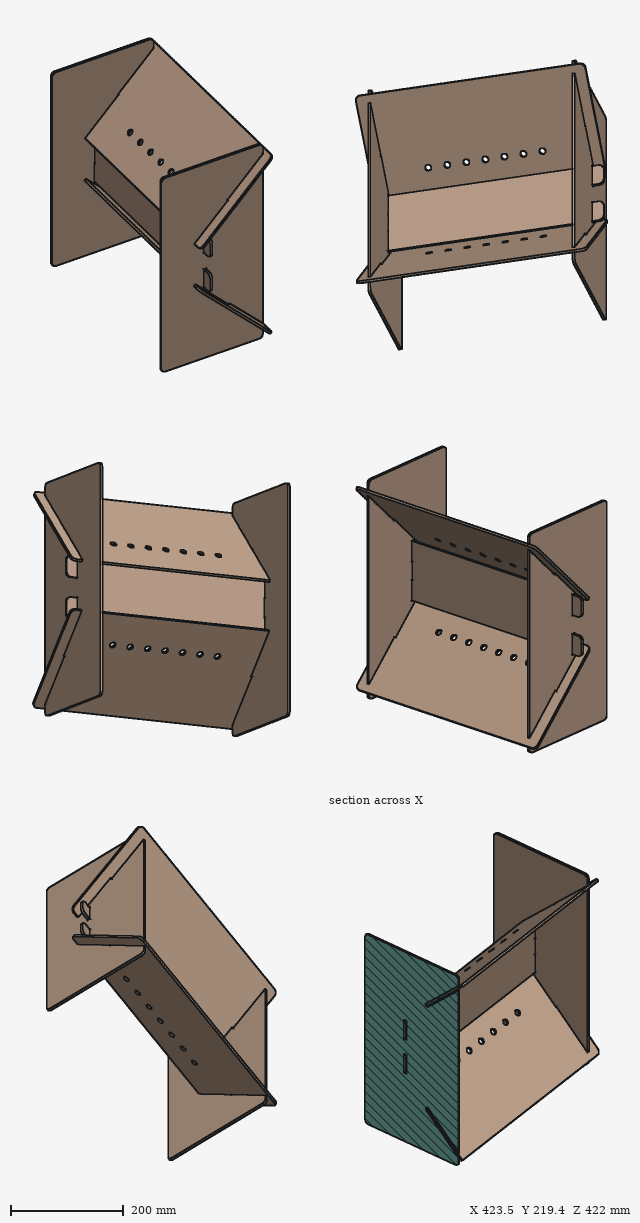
import cadquery as cq
sheet = 4.5
play = 1.5
slot_width = sheet + play
side_corner_radius = 8.5
corner_radius = 9.0

side_depth = 210.0
side_height = 422.0
side_spacing = 375.5

overall_width = 423.5
shelf_width = overall_width - play
shelf_length = 211.5
shelf_tilt = 45
shelf_center_y = 38.0
shelf_center_z = 119.5
slot_drop = -play / 2
lap_offset = 7.5
shelf_shift_x = play / 2

hole_count = 7
hole_row_length = 210.0
hole_pitch = hole_row_length / (hole_count - 1)
hole_diameter = 11.0
hole_row_offset = 41.5

back_width = 421.0
back_height = 114.5
back_y = -14.5
tab_gap = 36.5
tab_height = (back_height - tab_gap) / 2
tab_center_z = (back_height + tab_gap) / 4
tab_slot_height = tab_height + play
back_body_width = side_spacing - sheet

SIDES = (-1, 1)


def place_on_shelf(body):
    """Move a body from flat at the origin to the upper shelf's place, centred in X."""
    tilted = body.rotate((0, 0, 0), (1, 0, 0), shelf_tilt)
    return tilted.translate((0, shelf_center_y, shelf_center_z))


def turn_over(body):
    """Swap upper and lower with a half turn about the Y axis."""
    return body.rotate((0, 0, 0), (0, 1, 0), 180)


def make_side_panel(side):
    """Rounded panel with a slanted slot for each shelf and two windows for the back panel's tabs."""
    panel = cq.Workplane("XY").box(sheet, side_depth, side_height).edges("|X").fillet(side_corner_radius)
    flat_slot = (
        cq.Workplane("XY", origin=(0, -lap_offset, slot_drop))
        .box(shelf_width, shelf_length, slot_width, centered=(True, False, True))
    )
    upper_slot = place_on_shelf(flat_slot)
    panel = panel.cut(upper_slot).cut(turn_over(upper_slot))
    for level in SIDES:
        tab_slot = cq.Workplane("XY").box(shelf_width, slot_width, tab_slot_height)
        panel = panel.cut(tab_slot.translate((0, back_y, level * tab_center_z)))
    return panel.translate((side * side_spacing / 2, 0, 0))


def make_upper_shelf():
    """Rounded panel with two lap slots and a row of holes, pushed to +X by half the play."""
    shelf = cq.Workplane("XY").box(shelf_width, shelf_length, sheet).edges("|Z").fillet(corner_radius)
    slots = (
        cq.Workplane("XY")
        .pushPoints([(side * side_spacing / 2, -lap_offset - shelf_length / 2) for side in SIDES])
        .box(slot_width, shelf_length, sheet)
    )
    holes = (
        cq.Workplane("XY")
        .center(0, -hole_row_offset)
        .rarray(hole_pitch, 4.2, hole_count, 1)
        .circle(hole_diameter / 2)
        .extrude(sheet, both=True)
    )
    return place_on_shelf(shelf.cut(slots).cut(holes)).translate((shelf_shift_x, 0, 0))


def make_back_panel():
    """Panel that fits between the side panels, with rounded tabs reaching out through them."""
    panel = cq.Workplane("XY").box(back_body_width, sheet, back_height)
    for level in SIDES:
        tabs = cq.Workplane("XY").box(back_width, sheet, tab_height).edges("|Y").fillet(corner_radius)
        panel = panel.union(tabs.translate((0, 0, level * tab_center_z)))
    return panel.translate((0, back_y, 0))


side_panels = [make_side_panel(side) for side in SIDES]
upper_shelf = make_upper_shelf()
lower_shelf = turn_over(upper_shelf)
back_panel = make_back_panel()

result = cq.Compound.makeCompound(
    [
        *[panel.val() for panel in side_panels],
        upper_shelf.val(),
        lower_shelf.val(),
        back_panel.val(),
    ]
)